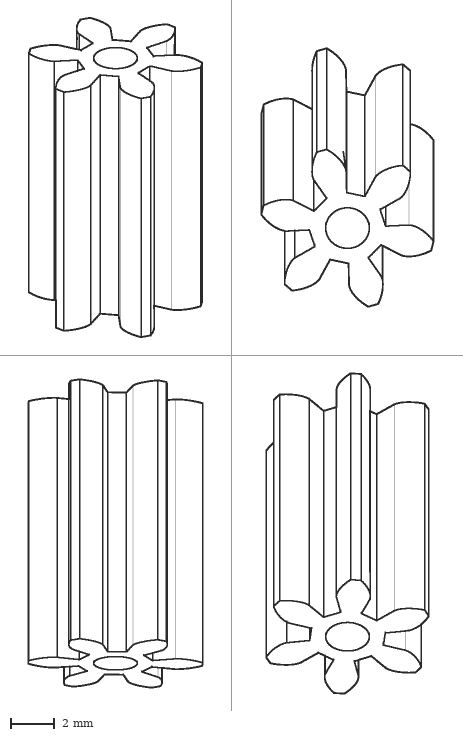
import cadquery as cq
import math

tooth_count = 6
module = 1.0
pressure_angle = math.radians(20)
length = 12.5
bore_diameter = 2.0
dedendum_factor = 1.25
involute_intervals = 8

pitch_radius = module * tooth_count / 2
tip_radius = pitch_radius + module
root_radius = pitch_radius - dedendum_factor * module
base_radius = pitch_radius * math.cos(pressure_angle)
tooth_pitch = 2 * math.pi / tooth_count

base_half_angle = tooth_pitch / 4 + math.tan(pressure_angle) - pressure_angle

tip_roll = math.sqrt((tip_radius / base_radius) ** 2 - 1)


def polar(radius, angle):
    return (radius * math.cos(angle), radius * math.sin(angle))


def involute_point(roll, tooth_angle, side):
    """Point on a tooth face; side is -1 for the clockwise face, +1 for the other."""
    radius = base_radius * math.sqrt(1 + roll**2)
    half_angle = base_half_angle - (roll - math.atan(roll))
    return polar(radius, tooth_angle + side * half_angle)


def involute_face(tooth_angle, side):
    """Points along a tooth face from the base circle out to the tip."""
    rolls = [tip_roll * i / involute_intervals for i in range(involute_intervals + 1)]
    return [involute_point(roll, tooth_angle, side) for roll in rolls]


def gear_outline():
    """Closed outline with flat tooth tips and flat gap floors."""
    outline = cq.Workplane("XY").moveTo(*polar(root_radius, -base_half_angle))
    for tooth in range(tooth_count):
        tooth_angle = tooth * tooth_pitch
        rising_face = involute_face(tooth_angle, -1)
        falling_face = involute_face(tooth_angle, 1)[::-1]
        next_root = polar(root_radius, tooth_angle + tooth_pitch - base_half_angle)

        outline = outline.lineTo(*rising_face[0])
        outline = outline.spline(rising_face[1:], includeCurrent=True)
        outline = outline.lineTo(*falling_face[0])
        outline = outline.spline(falling_face[1:], includeCurrent=True)
        outline = outline.lineTo(*polar(root_radius, tooth_angle + base_half_angle))
        if tooth < tooth_count - 1:
            outline = outline.lineTo(*next_root)
    return outline.close()


gear = gear_outline().extrude(length)
bore = cq.Workplane("XY").circle(bore_diameter / 2).extrude(length)

result = gear.cut(bore)